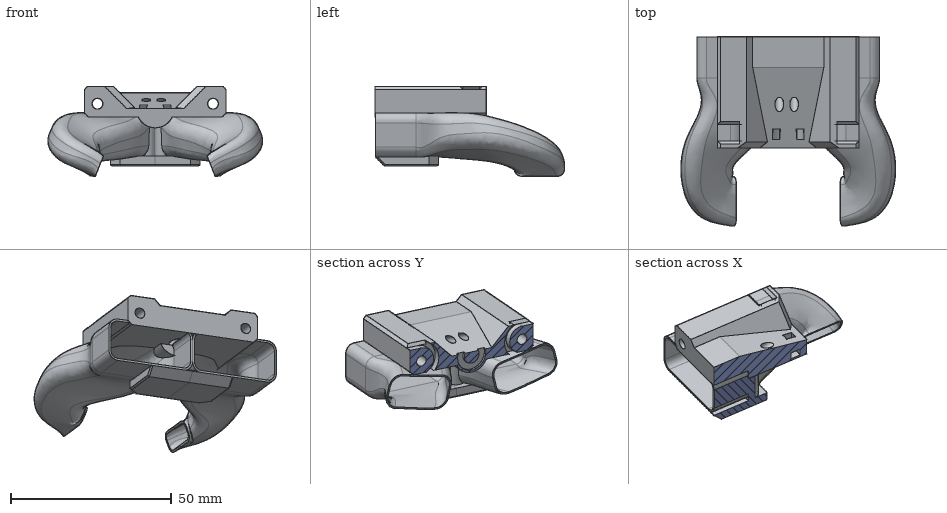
import cadquery as cq
import math


MOUNT_HALF_WIDTH = 22.1
MOUNT_LENGTH = 34.75
MOUNT_HEIGHT = 9.6
TOP_CHAMFER = 1.0
BOTTOM_CHAMFER = 1.3
FRONT_FLOOR_Z = 2.6
BACK_FLOOR_Z = 7.6
LEVEL_FLOOR_LENGTH = 9.6
RAIL_INNER_X = 13.05
FLARE_LENGTH = 1.95

ROD_X = 18.0
ROD_Z = 4.15
ROD_HOLE_DIAMETER = 3.3

CLIP_INNER_X = 15.1
CLIP_BACK_Y = -26.5
CLIP_FRONT_Y = -33.5
CLIP_DEPTH = 0.95

WIRE_HOLE_DIAMETER = 2.7
WIRE_HOLE_SPACING = 4.6
WIRE_HOLE_CENTRE_X = -0.5
WIRE_HOLE_Y = -21.15
WIRE_HOLE_ANGLE = 25.0

RIDGE_RADIUS = 5.8
RIDGE_BOTTOM_Z = -3.35
TIE_OUTER_RADIUS = 4.95
TIE_INNER_RADIUS = 2.75
TIE_BACK_Y = -28.85
TIE_WIDTH = 3.3

DUCT_BACK_Y = -0.15
BOX_FRONT_Y = -12.85
BOX_HALF_WIDTH = 28.5
BOX_TOP_Z = 1.2
BOX_BOTTOM_Z = -12.45
BOX_CORNER = 3.1
WALL = 0.7
COLUMN_RADIUS = 2.35
COLUMN_Y = -15.4

FOOT_HALF_WIDTH = 14.0
FOOT_FRONT_Y = -19.9
FOOT_BOTTOM_Z = -15.25
FOOT_TOP_Z = -12.2
FOOT_CORNER = 3.1
FOOT_EDGE_CHAMFER = 0.5

BOX_MID_Z = (BOX_TOP_Z + BOX_BOTTOM_Z) / 2
BOX_HEIGHT = BOX_TOP_Z - BOX_BOTTOM_Z

BOX_INNER_EDGE = (0, BOX_FRONT_Y, BOX_MID_Z)
BOX_OUTER_EDGE = (BOX_HALF_WIDTH, BOX_FRONT_Y, BOX_MID_Z)
UPRIGHT = (0, 0, 1)

ARM_SECTIONS = [
    (BOX_INNER_EDGE, BOX_OUTER_EDGE, BOX_HEIGHT, BOX_CORNER, UPRIGHT),
    ((1.35, -16.6, -5.8), (27.6, -16.6, -5.35), 13.25, 3.35, UPRIGHT),
    ((3.7, -21.4, -6.95), (26.9, -20.75, -4.3), 12.2, 4.0, UPRIGHT),
    ((9.25, -31.45, -8.7), (29.9, -29.1, -3.5), 11.4, 4.0, UPRIGHT),
    ((17.15, -39.35, -11.25), (32.7, -40.15, -4.4), 10.45, 4.0, UPRIGHT),
    ((17.95, -42.2, -13.0), (31.2, -50.2, -7.55), 9.5, 3.35, (-0.1, 0, 1)),
    ((17.95, -43.25, -14.85), (24.9, -57.2, -11.25), 8.0, 3.0, (-0.25, 0, 1)),
    ((17.4, -43.65, -15.3), (17.4, -59.1, -15.3), 6.8, 2.4, (-0.4, 0, 1)),
]


def front_prism(points, front_y, back_y):
    """Prism along Y over an outline of (x, z) points."""
    return cq.Workplane("XZ", origin=(0, back_y, 0)).polyline(points).close().extrude(back_y - front_y)


def y_cylinder(x, z, radius, front_y, back_y):
    return cq.Workplane("XZ", origin=(x, back_y, z)).circle(radius).extrude(back_y - front_y)


def mirrored_pair(shape):
    return shape.union(shape.mirror("YZ"))


def below_mount():
    """Block of the mount's footprint under its underside."""
    return cq.Workplane("XY").box(
        2 * MOUNT_HALF_WIDTH, 2 * MOUNT_LENGTH, -RIDGE_BOTTOM_Z, centered=(True, True, False)
    ).translate((0, 0, RIDGE_BOTTOM_Z))


def mount_blank():
    """Mount with its ridge, before any of its openings are cut."""
    block = cq.Workplane("XY").box(
        2 * MOUNT_HALF_WIDTH, MOUNT_LENGTH, MOUNT_HEIGHT, centered=(True, False, False)
    ).translate((0, -MOUNT_LENGTH, 0))
    block = block.faces(">Z").edges("|Y").chamfer(TOP_CHAMFER)
    block = block.faces("<Z").edges("|Y").chamfer(BOTTOM_CHAMFER)
    ridge_axis_z = RIDGE_BOTTOM_Z + RIDGE_RADIUS
    ridge = y_cylinder(0, ridge_axis_z, RIDGE_RADIUS, -MOUNT_LENGTH, BOX_FRONT_Y)
    return block.union(ridge.intersect(below_mount()))


def trough():
    """Space between the rails, bounded below by the sloping floor."""
    def outline(widening):
        top_x = RAIL_INNER_X + widening
        bottom_x = top_x - MOUNT_HEIGHT
        return [(-bottom_x, 0), (bottom_x, 0), (top_x, MOUNT_HEIGHT), (-top_x, MOUNT_HEIGHT)]

    flare_widening = FLARE_LENGTH * math.sqrt(2)
    between_rails = front_prism(outline(0), -MOUNT_LENGTH, 0)
    flare = (
        cq.Workplane("XZ", origin=(0, FLARE_LENGTH - MOUNT_LENGTH, 0))
        .polyline(outline(0)).close()
        .workplane(offset=FLARE_LENGTH)
        .polyline(outline(flare_widening)).close()
        .loft(ruled=True)
    )
    above_floor = (
        cq.Workplane("YZ")
        .polyline([
            (0, MOUNT_HEIGHT),
            (0, BACK_FLOOR_Z),
            (-LEVEL_FLOOR_LENGTH, BACK_FLOOR_Z),
            (-MOUNT_LENGTH, FRONT_FLOOR_Z),
            (-MOUNT_LENGTH, MOUNT_HEIGHT),
        ])
        .close().extrude(MOUNT_HALF_WIDTH, both=True)
    )
    return between_rails.union(flare).intersect(above_floor)


def clip_pocket():
    """Pocket in the right rail: level out to the side, and curving down around the rod to the underside."""
    floor_z = MOUNT_HEIGHT - CLIP_DEPTH
    floor_back = CLIP_BACK_Y - CLIP_DEPTH
    floor_front = CLIP_FRONT_Y + CLIP_DEPTH
    width = MOUNT_HALF_WIDTH - CLIP_INNER_X
    mouth = (
        cq.Workplane("YZ", origin=(CLIP_INNER_X, 0, 0))
        .polyline([
            (CLIP_BACK_Y, MOUNT_HEIGHT),
            (CLIP_FRONT_Y, MOUNT_HEIGHT),
            (floor_front, floor_z),
            (floor_back, floor_z),
        ])
        .close().extrude(width)
    )
    inner_radius = floor_z - ROD_Z
    outer_radius = math.hypot(ROD_X - CLIP_INNER_X, MOUNT_HEIGHT - ROD_Z)
    ring = y_cylinder(ROD_X, ROD_Z, outer_radius, floor_front, floor_back)
    ring = ring.cut(y_cylinder(ROD_X, ROD_Z, inner_radius, floor_front, floor_back))
    inner_side = front_prism(
        [(0, -MOUNT_HEIGHT), (ROD_X, -MOUNT_HEIGHT), (ROD_X, MOUNT_HEIGHT), (0, MOUNT_HEIGHT)],
        floor_front, floor_back,
    )
    return mouth.union(ring.intersect(inner_side))


def wire_holes():
    """Two holes descending backward from the trough floor to the underside."""
    floor_slope = (BACK_FLOOR_Z - FRONT_FLOOR_Z) / (MOUNT_LENGTH - LEVEL_FLOOR_LENGTH)
    mouth_z = BACK_FLOOR_Z + floor_slope * (WIRE_HOLE_Y + LEVEL_FLOOR_LENGTH)
    descent = math.radians(WIRE_HOLE_ANGLE)
    direction = cq.Vector(0, math.cos(descent), -math.sin(descent))
    reach = (mouth_z + WIRE_HOLE_DIAMETER) / math.sin(descent)
    holes = cq.Workplane("XY")
    for side in (-1, 1):
        x = WIRE_HOLE_CENTRE_X + side * WIRE_HOLE_SPACING / 2
        axis = cq.Plane(origin=(x, WIRE_HOLE_Y, mouth_z), xDir=(1, 0, 0), normal=direction)
        hole = cq.Workplane(axis).circle(WIRE_HOLE_DIAMETER / 2).extrude(reach, both=True)
        holes = holes.union(hole)
    return holes


def tie_channel():
    """Ring-shaped channel that loops through the ridge below the trough floor."""
    tie_front = TIE_BACK_Y - TIE_WIDTH
    axis_z = RIDGE_BOTTOM_Z + RIDGE_RADIUS
    ring = y_cylinder(0, axis_z, TIE_OUTER_RADIUS, tie_front, TIE_BACK_Y)
    return ring.cut(y_cylinder(0, axis_z, TIE_INNER_RADIUS, tie_front, TIE_BACK_Y))


def make_mount(blank):
    rod_hole = y_cylinder(ROD_X, ROD_Z, ROD_HOLE_DIAMETER / 2, -MOUNT_LENGTH, 0)
    body = blank.cut(trough())
    body = body.cut(mirrored_pair(rod_hole))
    body = body.cut(mirrored_pair(clip_pocket()))
    return body.cut(wire_holes()).cut(tie_channel())


def section_wire(inner, outer, thickness, corner, up, inset):
    """Rounded rectangle from the inner to the outer edge point, drawn in by the inset."""
    start = cq.Vector(*inner)
    end = cq.Vector(*outer)
    across = end - start
    plane = cq.Plane(origin=(start + end) * 0.5, xDir=across, normal=across.cross(cq.Vector(*up)))
    width = across.Length - 2 * inset
    height = thickness - 2 * inset
    outline = cq.Workplane(plane).rect(width, height).val()
    return outline.fillet2D(corner - inset, outline.Vertices())


def arm(inset):
    """Smooth loft through the sections of the right arm, drawn in by the inset."""
    wires = [section_wire(*section, inset) for section in ARM_SECTIONS]
    return cq.Workplane(cq.Solid.makeLoft(wires))


def hollow_arm(outside):
    """Right arm as a tube: outer and inner lofted sides joined by a flat rim at each end."""
    sides = []
    for loft in (outside, arm(WALL)):
        sides += [face for face in loft.val().Faces() if face.geomType() != "PLANE"]
    rims = []
    for section in (ARM_SECTIONS[0], ARM_SECTIONS[-1]):
        rim = cq.Face.makeFromWires(section_wire(*section, 0), [section_wire(*section, WALL)])
        rims.append(rim)
    return cq.Workplane(cq.Solid.makeSolid(cq.Shell.makeShell(sides + rims)))


def inlet(inset):
    """Straight inlet of the right arm, drawn in by the inset."""
    return (
        cq.Workplane("XZ", origin=(BOX_HALF_WIDTH / 2, DUCT_BACK_Y, BOX_MID_Z))
        .rect(BOX_HALF_WIDTH - 2 * inset, BOX_HEIGHT - 2 * inset)
        .extrude(DUCT_BACK_Y - BOX_FRONT_Y)
        .edges("|Y").fillet(BOX_CORNER - inset)
    )


def column():
    """Upright round nose that closes the inner front corner of the right half."""
    nose = (
        cq.Workplane("XY", origin=(COLUMN_RADIUS, COLUMN_Y, BOX_BOTTOM_Z))
        .circle(COLUMN_RADIUS).extrude(BOX_HEIGHT)
    )
    web = cq.Workplane("XY", origin=(0, COLUMN_Y, BOX_BOTTOM_Z)).box(
        2 * COLUMN_RADIUS, BOX_FRONT_Y - COLUMN_Y, BOX_HEIGHT, centered=False
    )
    return nose.union(web)


def foot_half():
    """Right half of the plate under the box, with a sloped back and chamfered lower edges."""
    plate = (
        cq.Workplane("XY", origin=(0, 0, FOOT_BOTTOM_Z))
        .rect(2 * FOOT_HALF_WIDTH, DUCT_BACK_Y - FOOT_FRONT_Y)
        .extrude(FOOT_TOP_Z - FOOT_BOTTOM_Z)
        .translate((0, (DUCT_BACK_Y + FOOT_FRONT_Y) / 2, 0))
    )
    plate = plate.edges("|Z and <Y").chamfer(FOOT_CORNER)
    plate = plate.edges("<Z and >Y").chamfer(BOX_BOTTOM_Z - FOOT_BOTTOM_Z)
    slope_sides = cq.selectors.ParallelDirSelector(cq.Vector(0, 1, 1))
    bottom_rim = plate.faces("<Z").edges("not >Y")
    plate = bottom_rim.add(plate.edges(slope_sides)).chamfer(FOOT_EDGE_CHAMFER)
    right_side = cq.Workplane("XY").box(
        BOX_HALF_WIDTH, 2 * MOUNT_LENGTH, 2 * MOUNT_LENGTH, centered=(False, True, True)
    )
    return plate.intersect(right_side)


def make_duct(blank):
    """Duct with an air passage from each inlet to its outlet, recessed to seat the mount."""
    outside = arm(0)
    tube = inlet(0).cut(inlet(WALL)).union(hollow_arm(outside), glue=True, clean=False)
    supports = foot_half().union(column()).cut(inlet(0)).cut(outside, clean=False)
    half = tube.union(supports, glue=True, clean=False).cut(blank, clean=False)
    return half.union(half.mirror("YZ"), glue=True, clean=False)


blank = mount_blank()
mount = make_mount(blank)
duct = make_duct(blank)
result = cq.Compound.makeCompound([mount.solids().val(), duct.solids().val()])